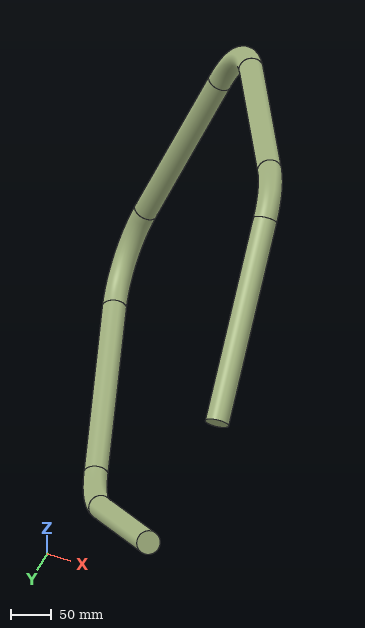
import cadquery as cq
import math

bar_diameter = 30.0
bend_radius = 100.0
total_height = 648.5
total_width = 574.5
top_length = 230.0
side_lean = 13.0
leg_lean = 34.0

bar_radius = bar_diameter / 2
top_bend_angle = 90.0 - side_lean
lower_bend_angle = side_lean + leg_lean


def sin_deg(angle):
    return math.sin(math.radians(angle))


def cos_deg(angle):
    return math.cos(math.radians(angle))


side_reach = (
    total_width / 2
    - bar_radius
    - top_length / 2
    - bend_radius * sin_deg(top_bend_angle)
    - bend_radius * (1 - cos_deg(side_lean))
)
side_length = side_reach / sin_deg(side_lean)

leg_drop = (
    total_height
    - bar_radius
    - bend_radius * (1 - cos_deg(top_bend_angle))
    - side_length * cos_deg(side_lean)
    - bend_radius * (sin_deg(side_lean) + sin_deg(leg_lean))
    - bar_radius * sin_deg(leg_lean)
)
leg_length = leg_drop / cos_deg(leg_lean)


def direction(heading):
    """Unit vector in the YZ plane; heading is degrees turned down from +Y."""
    return cq.Vector(0, cos_deg(heading), -sin_deg(heading))


def make_straight(start, heading, length):
    """Straight round bar, cut square at both ends."""
    return cq.Solid.makeCylinder(bar_radius, length, start, direction(heading))


def make_bend(start, heading, angle):
    """Round bar swept around a bend that turns downward and inward."""
    center = start + direction(heading + 90) * bend_radius
    section = cq.Plane(origin=start, xDir=(1, 0, 0), normal=direction(heading))
    local_center = section.toLocalCoords(center)
    axis_start = local_center + cq.Vector(6.5, 0, 0)
    return (
        cq.Workplane(section)
        .circle(bar_radius)
        .revolve(angle, axis_start.toTuple(), local_center.toTuple())
        .val()
    )


def bend_end(start, heading, angle):
    """Centreline point where a bend finishes."""
    center = start + direction(heading + 90) * bend_radius
    return center - direction(heading + angle + 90) * bend_radius


top_z = total_height - bar_radius
side_heading = top_bend_angle
leg_heading = side_heading + lower_bend_angle
top_joint = cq.Vector(0, top_length / 2, top_z)
side_start = bend_end(top_joint, 0, top_bend_angle)
side_end = side_start + direction(side_heading) * side_length
leg_start = bend_end(side_end, side_heading, lower_bend_angle)

top_bar = make_straight(cq.Vector(0, -top_length / 2, top_z), 0, top_length)

half_bodies = [
    make_bend(top_joint, 0, top_bend_angle),
    make_straight(side_start, side_heading, side_length),
    make_bend(side_end, side_heading, lower_bend_angle),
    make_straight(leg_start, leg_heading, leg_length),
]
mirrored_bodies = [body.mirror("XZ") for body in half_bodies]

result = cq.Compound.makeCompound([top_bar, *half_bodies, *mirrored_bodies])